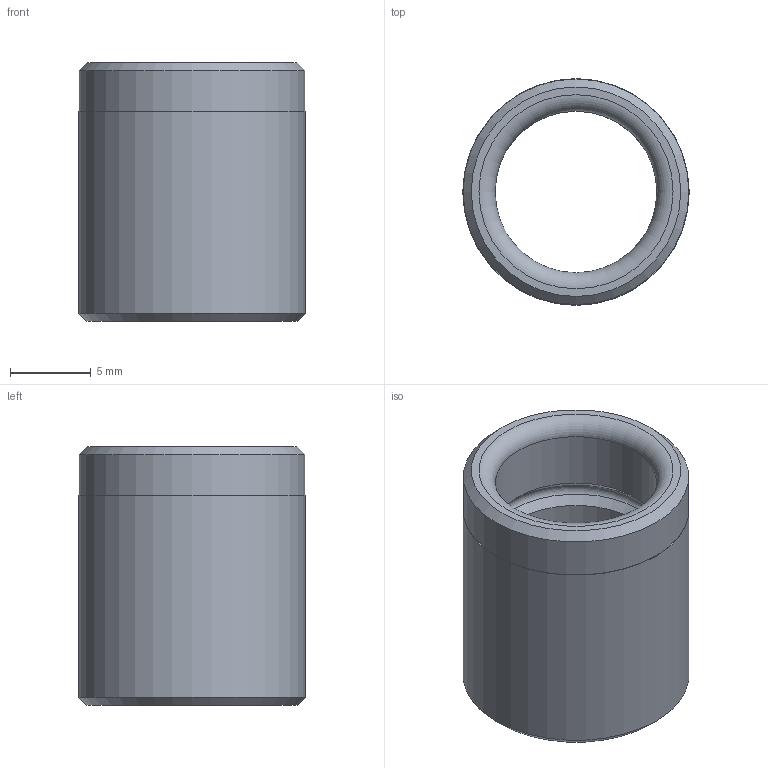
import cadquery as cq
import math

length = 16.0
body_radius = 7.0
bore_radius = 5.0

lead_radius = 6.975
lead_length = 3.0

chamfer = 0.5
mouth_radius = 1.0

groove_center_z = 10.65
groove_flank_depth = 0.5
groove_bottom_radius = 0.5


def make_sleeve():
    """Revolve the outer outline and the bore, with its rounded upper mouth."""
    lead_start_z = length - lead_length
    mouth_start_z = length - mouth_radius
    mouth_outer_radius = bore_radius + mouth_radius
    mouth_mid_offset = mouth_radius * math.cos(math.pi / 4)
    mouth_mid = (mouth_outer_radius - mouth_mid_offset, mouth_start_z + mouth_mid_offset)

    profile = (
        cq.Workplane("XZ")
        .moveTo(bore_radius, 0)
        .lineTo(body_radius - chamfer, 0)
        .lineTo(body_radius, chamfer)
        .lineTo(body_radius, lead_start_z)
        .lineTo(lead_radius, lead_start_z)
        .lineTo(lead_radius, length - chamfer)
        .lineTo(lead_radius - chamfer, length)
        .lineTo(mouth_outer_radius, length)
        .threePointArc(mouth_mid, (bore_radius, mouth_start_z))
        .close()
    )
    return profile.revolve(360, (0, 0, 0), (0, 1, 0))


def make_groove_cutter():
    """Revolve the groove section as a solid disc that also fills the bore."""
    flank_radius = bore_radius + groove_flank_depth
    arc_half_height = groove_bottom_radius * math.sin(math.pi / 4)
    arc_depth = groove_bottom_radius * (1 - math.cos(math.pi / 4))
    half_width = arc_half_height + groove_flank_depth

    profile = (
        cq.Workplane("XZ")
        .moveTo(0, groove_center_z - half_width)
        .lineTo(bore_radius, groove_center_z - half_width)
        .lineTo(flank_radius, groove_center_z - arc_half_height)
        .threePointArc(
            (flank_radius + arc_depth, groove_center_z),
            (flank_radius, groove_center_z + arc_half_height),
        )
        .lineTo(bore_radius, groove_center_z + half_width)
        .lineTo(0, groove_center_z + half_width)
        .close()
    )
    return profile.revolve(360, (0, 0, 0), (0, 1, 0))


result = make_sleeve().cut(make_groove_cutter())